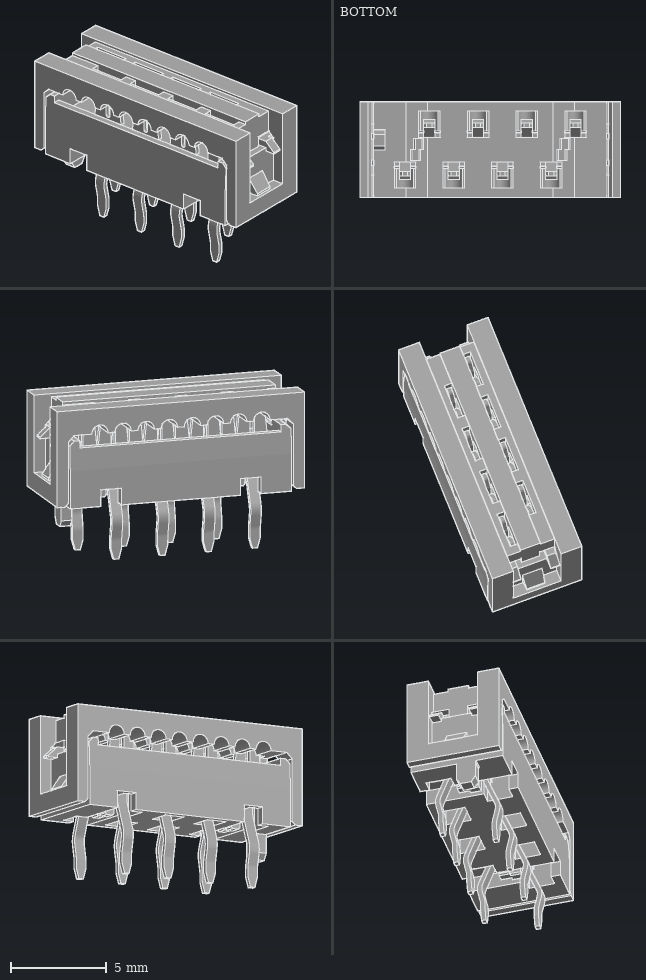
import cadquery as cq
import math


cover_length = 13.59
depth = 5.0
cover_bottom = 0.12
cover_top = 5.27
tail_end = -3.18

contact_count = 8
grid_span = 8.89
pitch = grid_span / (contact_count - 1)
fork_row_y = 0.76
tail_row_y = 1.26
contact_thickness = 0.25

basin_floor = 2.36
basin_half_depth = 2.07

fork_slot_half = 0.12
fork_slot_bottom = 2.51
fork_base_z = 1.22
fork_base_half = 0.88
fork_waist_z = basin_floor
fork_head_x = 0.67
fork_head_z = 4.57
fork_head_radius = 0.26
fork_head_tilt = math.radians(20)
mouth_start_z = 4.16
mouth_x = 0.22
mouth_z = 4.35
mouth_mid_fraction = 0.25

leg_width = 0.58
tip_width = 0.27
tip_taper_z = -2.62
bend_radius = 0.95
upper_bend_z = 0.73
bulge_y = 1.48
bulge_z = -1.09
lower_bend_z = -2.09

housing_length = 12.15
housing_end = housing_length / 2
housing_top = 3.22
ear_top = 3.6
ear_length = 0.56
ear_gap_half = 0.83
ear_chamfer = 0.25
draft_start_z = 2.02
wall_draft = 0.08
cavity_half = 0.56
cavity_outer_y = 2.0
notch_x = 3.83
notch_width = 1.11
notch_height = 0.9
web_half_depth = 0.57
web_chamfer = 0.08
web_step = 0.16

hook_tip_x = 6.62
upper_hook_tip_z = 3.11
upper_hook_bottom = 3.03
lower_hook_top = 1.98
lower_hook_tip_z = 1.24
lower_hook_root_width = 1.1
lower_hook_tip_width = 1.02

peg_width = 0.58
peg_depth = 1.03
peg_y = -0.49
peg_length = 1.35
peg_tip_inset = 0.22
peg_tip_height = 0.35
peg_root_flare = 0.04
peg_root_height = 0.11

cover_end = cover_length / 2
window_half = 1.33
leg_inner_x = 6.17
beam_bottom = 3.93
opening_chamfer = 0.31
leg_chamfer = 0.19
latch_bar_top = 1.11
strip_half_length = 5.85
strip_top = 5.11
tongue_length = 0.46
tongue_width = 1.02
tongue_bottom = 3.35
scallop_radius = 0.45
cover_slot_length = 1.9
cover_slot_inner_y = 0.56
cover_slot_outer_y = 0.96


def block(x_min, x_max, y_min, y_max, z_min, z_max):
    """Box between two opposite corners."""
    box = cq.Workplane().box(x_max - x_min, y_max - y_min, z_max - z_min, centered=False)
    return box.translate((x_min, y_min, z_min))


def extrude_y(sketch, y_min, y_max):
    """Extrude an XZ outline from y_min to y_max."""
    return sketch.extrude(-(y_max - y_min)).translate((0, y_min, 0))


def contact_x(index):
    return index * pitch - grid_span / 2


def contact_side(index):
    """+1 for the rear row, -1 for the front row; the rows alternate along X."""
    return 1 if index % 2 == 0 else -1


def prong(side):
    """Half of the fork, with a round head and a flared slot mouth."""
    head_inner = (
        side * (fork_head_x - fork_head_radius * math.cos(fork_head_tilt)),
        fork_head_z + fork_head_radius * math.sin(fork_head_tilt),
    )
    slot_x = side * fork_slot_half
    mid_mouth = (
        side * (fork_slot_half + mouth_mid_fraction * (mouth_x - fork_slot_half)),
        (mouth_start_z + mouth_z) / 2,
    )
    outline = (
        cq.Workplane("XZ")
        .moveTo(0, fork_base_z)
        .lineTo(side * fork_base_half, fork_base_z)
        .lineTo(side * fork_base_half, fork_waist_z)
        .lineTo(side * fork_head_x, fork_head_z - fork_head_radius)
        .threePointArc((side * (fork_head_x + fork_head_radius), fork_head_z), head_inner)
        .lineTo(side * mouth_x, mouth_z)
        .threePointArc(mid_mouth, (slot_x, mouth_start_z))
        .lineTo(slot_x, fork_slot_bottom + fork_slot_half)
        .radiusArc((0, fork_slot_bottom), side * fork_slot_half)
        .close()
    )
    half_thickness = contact_thickness / 2
    return extrude_y(outline, fork_row_y - half_thickness, fork_row_y + half_thickness)


def contact_leg():
    """Bent strip below the fork, tapering to a blunt tip."""
    bends = [(fork_row_y, upper_bend_z), (bulge_y, bulge_z), (tail_row_y, lower_bend_z)]
    path_points = [(fork_row_y, fork_base_z), *bends, (tail_row_y, tail_end)]
    path = cq.Workplane("YZ").polyline(path_points).wire().val()
    bend_vertices = path.Vertices()[1:-1]
    path = path.fillet2D(bend_radius, bend_vertices)
    strip = (
        cq.Workplane("XY", origin=(0, fork_row_y, fork_base_z))
        .rect(leg_width, contact_thickness)
        .sweep(cq.Workplane(path))
    )
    half_width = leg_width / 2
    half_tip = tip_width / 2
    front_outline = cq.Workplane("XZ").polyline([
        (-half_width, fork_base_z),
        (half_width, fork_base_z),
        (half_width, tip_taper_z),
        (half_tip, tail_end),
        (-half_tip, tail_end),
        (-half_width, tip_taper_z),
    ]).close()
    return strip.intersect(extrude_y(front_outline, 0, depth / 2))


def make_contact():
    """Contact of the rear row, at X = 0."""
    return prong(1).union(prong(-1)).union(contact_leg())


def place(shape, index):
    """Move a rear-row shape to its grid position, turned round for the front row."""
    if contact_side(index) < 0:
        shape = shape.rotate((0, 0, 0), (0, 0, 1), 180)
    return shape.translate((contact_x(index), 0, 0))


def housing_block():
    """Block with drafted front and rear walls, an ear at each corner and a basin in the top."""
    half_depth = depth / 2
    top_half_depth = half_depth - wall_draft
    body = (
        cq.Workplane("YZ")
        .polyline([
            (-half_depth, 0),
            (half_depth, 0),
            (half_depth, draft_start_z),
            (top_half_depth, ear_top),
            (-top_half_depth, ear_top),
            (-half_depth, draft_start_z),
        ])
        .close()
        .extrude(housing_end, both=True)
    )
    body = body.edges("|Y and >Z").chamfer(ear_chamfer)
    ear_inner_x = housing_end - ear_length
    between_ends = block(-ear_inner_x, ear_inner_x, -depth, depth, housing_top, cover_top)
    between_ears = block(-cover_end, cover_end, -ear_gap_half, ear_gap_half, housing_top, cover_top)
    basin = block(-ear_inner_x, ear_inner_x, -basin_half_depth, basin_half_depth, basin_floor, housing_top)
    return body.cut(between_ends).cut(between_ears).cut(basin)


def upper_hooks():
    """Pair of hooks on the right end, one under each ear."""
    profile = cq.Workplane("XZ").polyline([
        (housing_end - ear_chamfer, upper_hook_bottom),
        (hook_tip_x, upper_hook_bottom),
        (hook_tip_x, upper_hook_tip_z),
        (housing_end, ear_top),
        (housing_end - ear_chamfer, ear_top),
    ]).close()
    rear_hook = extrude_y(profile, ear_gap_half, window_half)
    return rear_hook.union(rear_hook.mirror("XZ"))


def lower_hook():
    """Central hook on the right end, narrowing outward, that catches the latch bar."""
    profile = cq.Workplane("XZ").polyline([
        (housing_end, latch_bar_top),
        (hook_tip_x, latch_bar_top),
        (hook_tip_x, lower_hook_tip_z),
        (housing_end, lower_hook_top),
    ]).close()
    wedge = extrude_y(profile, -lower_hook_root_width / 2, lower_hook_root_width / 2)
    plan = (
        cq.Workplane("XY")
        .polyline([
            (housing_end, -lower_hook_root_width / 2),
            (hook_tip_x, -lower_hook_tip_width / 2),
            (hook_tip_x, lower_hook_tip_width / 2),
            (housing_end, lower_hook_root_width / 2),
        ])
        .close()
        .extrude(housing_top)
    )
    return wedge.intersect(plan)


def locating_peg():
    """Peg under the left end with a tapered tip."""
    half = peg_depth / 2
    tip_half = half - peg_tip_inset
    return (
        cq.Workplane("YZ", origin=(-housing_end, peg_y, 0))
        .polyline([
            (-half - peg_root_flare, 0),
            (-half, -peg_root_height),
            (-half, peg_tip_height - peg_length),
            (-tip_half, -peg_length),
            (tip_half, -peg_length),
            (half, peg_tip_height - peg_length),
            (half, 0),
        ])
        .close()
        .extrude(peg_width)
    )


def notch_web(x):
    """Web left standing in a notch between the two contact rows.

    Its front and rear halves are alike, turned half a turn about the web's middle.
    """
    web_end = (pitch - leg_width) / 2
    half_web = block(web_step - web_end, web_end, -web_half_depth, 0, 0, notch_height)
    half_web = half_web.edges("|Y and <Z").chamfer(web_chamfer)
    web = half_web.union(half_web.rotate((0, 0, 0), (0, 0, 1), 180))
    return web.translate((x, 0, 0))


def make_housing(contacts):
    housing = housing_block()
    end_hooks = upper_hooks().union(lower_hook())
    housing = housing.union(end_hooks).union(end_hooks.mirror("YZ")).union(locating_peg())

    for side in (-1, 1):
        x = side * notch_x
        half_notch = notch_width / 2
        housing = housing.cut(block(x - half_notch, x + half_notch, -depth, depth, 0, notch_height))
        web_x = side * (grid_span - pitch) / 2
        housing = housing.union(notch_web(web_x))

    cavity = block(-cavity_half, cavity_half, fork_row_y - contact_thickness / 2, cavity_outer_y,
                   0, basin_floor)
    for index, contact in enumerate(contacts):
        housing = housing.cut(place(cavity, index)).cut(contact)
    return housing


def cover_rails():
    """Front and rear rails with their legs, joined by a latch bar at each end."""
    outline = cq.Workplane("XZ").polyline([
        (-cover_end, cover_bottom),
        (-leg_inner_x - leg_chamfer, cover_bottom),
        (-leg_inner_x, cover_bottom + leg_chamfer),
        (-leg_inner_x, beam_bottom - opening_chamfer),
        (opening_chamfer - leg_inner_x, beam_bottom),
        (leg_inner_x - opening_chamfer, beam_bottom),
        (leg_inner_x, beam_bottom - opening_chamfer),
        (leg_inner_x, cover_bottom + leg_chamfer),
        (leg_inner_x + leg_chamfer, cover_bottom),
        (cover_end, cover_bottom),
        (cover_end, cover_top),
        (-cover_end, cover_top),
    ]).close()
    frame = extrude_y(outline, -depth / 2, depth / 2)
    return frame.cut(block(-cover_end, cover_end, -window_half, window_half, latch_bar_top, cover_top))


def cover_strip():
    """Strip between the rails, with a raised ridge and a tongue under each end."""
    length = strip_half_length
    strip = block(-length, length, -window_half, window_half, beam_bottom, strip_top)
    ridge = block(-length, length, -cover_slot_inner_y, cover_slot_inner_y, beam_bottom, cover_top)
    tongue = block(length - tongue_length, length, -tongue_width / 2, tongue_width / 2,
                   tongue_bottom, beam_bottom)
    return strip.union(ridge).union(tongue).union(tongue.mirror("YZ"))


def make_cover():
    cover = cover_rails().union(cover_strip())
    scallop = extrude_y(cq.Workplane("XZ").center(0, beam_bottom).circle(scallop_radius), -depth, depth)
    slot = block(-cover_slot_length / 2, cover_slot_length / 2, cover_slot_inner_y, cover_slot_outer_y,
                 beam_bottom, cover_top)
    for index in range(contact_count):
        cover = cover.cut(place(scallop, index)).cut(place(slot, index))
    return cover


contact_shape = make_contact()
contacts = [place(contact_shape, index) for index in range(contact_count)]
housing = make_housing(contacts)
cover = make_cover()

result = cq.Compound.makeCompound([
    housing.val(),
    cover.val(),
    *[contact.val() for contact in contacts],
])